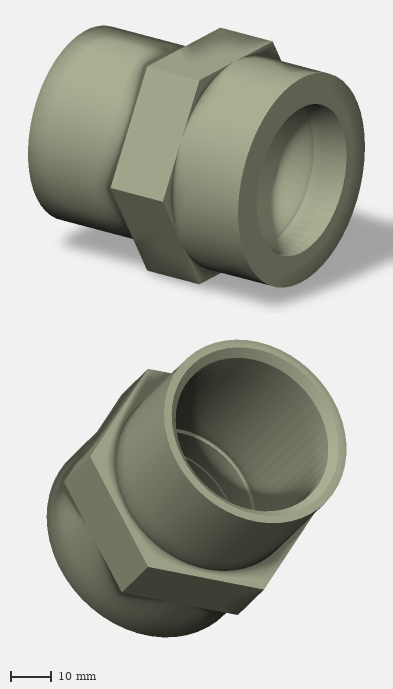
import cadquery as cq
import math


total_length = 66.0
inlet_barrel_length = 30.0
inlet_barrel_diameter = 50.0
hex_width = 16.0
across_flats = 55.0
outlet_barrel_diameter = across_flats

across_corners = across_flats / math.cos(math.radians(30))
outlet_start = inlet_barrel_length + hex_width
outlet_barrel_length = total_length - outlet_start

socket_diameter = 41.8
socket_depth = outlet_start
shoulder_diameter = 39.8
shoulder_depth = outlet_start + outlet_barrel_length / 2
through_diameter = 39.0
lead_in_chamfer = 2.0


def cylinder_along_x(diameter, start, length):
    return cq.Workplane("YZ", origin=(start, 0, 0)).circle(diameter / 2).extrude(length)


def hex_collar():
    """Hexagon with two corners on the Y axis and two flats facing up and down."""
    plane = cq.Workplane("YZ", origin=(inlet_barrel_length, 0, 0))
    return plane.polygon(6, across_corners).extrude(hex_width)


def outer_body():
    inlet_barrel = cylinder_along_x(inlet_barrel_diameter, 0, inlet_barrel_length)
    outlet_barrel = cylinder_along_x(outlet_barrel_diameter, outlet_start, outlet_barrel_length)
    return inlet_barrel.union(hex_collar()).union(outlet_barrel)


def stepped_bore():
    socket = cylinder_along_x(socket_diameter, 0, socket_depth)
    shoulder = cylinder_along_x(shoulder_diameter, 0, shoulder_depth)
    through = cylinder_along_x(through_diameter, 0, total_length)
    return socket.union(shoulder).union(through)


bored_body = outer_body().cut(stepped_bore())

smallest_edge = cq.selectors.RadiusNthSelector(0)
result = bored_body.faces("<X").edges(smallest_edge).chamfer(lead_in_chamfer)